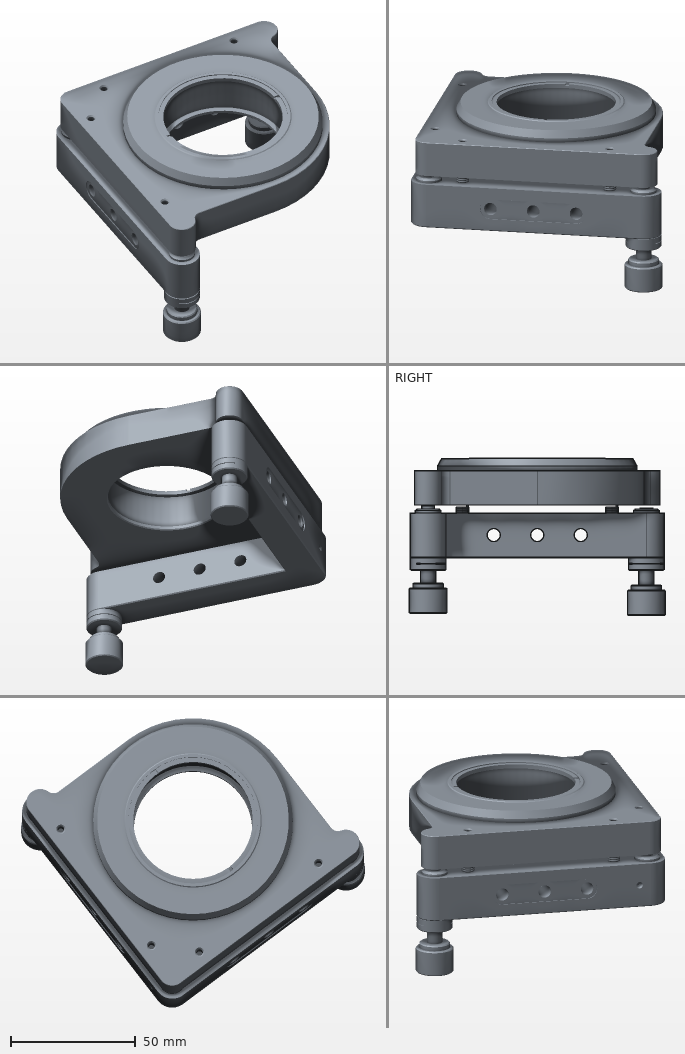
import cadquery as cq
import math


corner_offset = 43.7
spring_offset = 30.0
pivot_place = (-corner_offset, -corner_offset)
low_adjuster_place = (-corner_offset, corner_offset)
high_adjuster_place = (corner_offset, -corner_offset)
spring_places = [(-corner_offset, y) for y in (-spring_offset, spring_offset)]
spring_places += [(x, -corner_offset) for x in (-spring_offset, spring_offset)]

base_bottom = 23.1
base_top = 41.0
leg_half_width = 7.2
base_edge_chamfer = 0.4

leg_hole_height = 32.2
leg_hole_radius = 2.6
leg_hole_pitch = 17.4
pad_radius = 4.1
pad_depth = 0.4

lock_hole_y = -39.0
lock_hole_radius = 0.9
lock_hole_mouth = 1.3
lock_hole_depth = 3.1

plate_bottom = 44.2
plate_top = 58.2
ear_radius = 5.5
flank = 42.8
ear_fillet = 3.5
plate_edge_chamfer = 0.2

ring_radius = 40.0
ring_top_radius = 38.4
ring_chamfer_start = 59.8
ring_top = 62.8
lip_radius = 27.5
lip_top_radius = 27.1
lip_top = 63.1

bore_radius = 25.8
seat_height = 45.8
seat_radius = 23.7
seat_chamfer = 0.4
retainer_radius = 23.9
retainer_top = 62.7
retainer_thickness = 1.6
wrench_slot_width = 1.4
wrench_slot_depth = 0.7

anchor_hole_radius = 1.3
anchor_hole_mouth = 1.8
anchor_hole_depth = 5.1

coil_radius = 2.2
wire_radius = 0.4
coil_count = 3
spring_end_angle = math.radians(65)

knob_radius = 7.6
knob_height = 10.2
collar_radius = 6.2
collar_top = 12.2
shaft_radius = 3.1
tip_radius = 2.6
tip_top = 43.1
adjuster_lift = 0.8
turned_chamfer = 0.4
nut_height = 5.0
nut_slit_height = 20.7
nut_slit_width = 0.3
nut_hinge_offset = 4.5
bushing_radius = 5.2
bushing_top_radius = 4.3
bushing_shoulder = 0.9
bushing_height = 1.6


def cylinder(radius, bottom, top, place=(0, 0)):
    return cq.Workplane("XY", origin=(*place, bottom)).circle(radius).extrude(top - bottom)


def coned_hole(plane, radius, mouth, depth):
    """Cutter for a blind hole with a 45 degree mouth, drilled against the plane normal."""
    sink = mouth - radius
    profile = [(0, 0), (mouth, 0), (radius, -sink), (radius, -depth), (0, -depth)]
    cutter = cq.Workplane("XZ").polyline(profile).close().revolve(360, (0, 0), (0, 1))
    return cq.Workplane(plane).newObject([cutter.val().moved(plane.location)])


def leg(turned):
    """One straight leg along X, or along Y when turned, with round ends."""
    length = 2 * (corner_offset + leg_half_width)
    angle = 90 if turned else 0
    center = (-corner_offset, 0) if turned else (0, -corner_offset)
    blank = cq.Workplane("XY", origin=(*center, base_bottom))
    return blank.slot2D(length, 2 * leg_half_width, angle).extrude(base_top - base_bottom)


def leg_hole_cutter():
    """Three cross holes and their shallow pad, cut into the -Y face."""
    face = cq.Workplane("XZ", origin=(0, -corner_offset - leg_half_width, leg_hole_height))
    holes = face.pushPoints([(i * leg_hole_pitch, 0) for i in (-1, 0, 1)])
    holes = holes.circle(leg_hole_radius).extrude(-2 * leg_half_width)
    pad = face.slot2D(2 * (leg_hole_pitch + pad_radius), 2 * pad_radius).extrude(-pad_depth)
    return holes.union(pad)


def make_base():
    base = leg(False).union(leg(True))
    base = base.faces("<Z").chamfer(base_edge_chamfer)
    cutter = leg_hole_cutter()
    base = base.cut(cutter).cut(cutter.rotate((0, 0, 0), (0, 0, 1), -90))
    lock_face = cq.Plane(
        origin=(-corner_offset - leg_half_width, lock_hole_y, leg_hole_height),
        xDir=(0, -1, 0),
        normal=(-1, 0, 0),
    )
    return base.cut(coned_hole(lock_face, lock_hole_radius, lock_hole_mouth, lock_hole_depth))


def plate_outline():
    """Rounded square with an ear at the +Y and +X ends of its outer edges."""
    c = corner_offset
    r = ear_radius
    edge = c + r
    fillet_y = flank + ear_fillet
    reach = r + ear_fillet
    fillet_x = -c + math.sqrt(reach**2 - (fillet_y - c) ** 2)
    touch_x = -c + (fillet_x + c) * r / reach
    touch_y = c + (fillet_y - c) * r / reach
    touch_angle = math.atan2(touch_y - c, touch_x + c)
    ear_middle_angle = (touch_angle + math.pi) / 2
    ear_middle_x = -c + r * math.cos(ear_middle_angle)
    ear_middle_y = c + r * math.sin(ear_middle_angle)
    fillet_middle_angle = ((touch_angle - math.pi) + (-math.pi / 2)) / 2
    fillet_middle_x = fillet_x + ear_fillet * math.cos(fillet_middle_angle)
    fillet_middle_y = fillet_y + ear_fillet * math.sin(fillet_middle_angle)
    diagonal = flank / math.sqrt(2)
    corner_middle = -c - r / math.sqrt(2)
    return (
        cq.Workplane("XY", origin=(0, 0, plate_bottom))
        .moveTo(-edge, -c)
        .lineTo(-edge, c)
        .threePointArc((ear_middle_x, ear_middle_y), (touch_x, touch_y))
        .threePointArc((fillet_middle_x, fillet_middle_y), (fillet_x, flank))
        .lineTo(0, flank)
        .threePointArc((diagonal, diagonal), (flank, 0))
        .lineTo(flank, fillet_x)
        .threePointArc((fillet_middle_y, fillet_middle_x), (touch_y, touch_x))
        .threePointArc((ear_middle_y, ear_middle_x), (c, -edge))
        .lineTo(-c, -edge)
        .threePointArc((corner_middle, corner_middle), (-edge, -c))
        .close()
    )


def make_plate():
    plate = plate_outline().extrude(plate_top - plate_bottom)
    plate = plate.faces(">Z").chamfer(plate_edge_chamfer)
    retainer_bottom = retainer_top - retainer_thickness
    ring_profile = [
        (0, plate_bottom),
        (ring_radius, plate_bottom),
        (ring_radius, ring_chamfer_start),
        (ring_top_radius, ring_top),
        (lip_radius, ring_top),
        (lip_top_radius, lip_top),
        (0, lip_top),
    ]
    bore_profile = [
        (0, plate_bottom),
        (seat_radius + seat_chamfer, plate_bottom),
        (seat_radius, plate_bottom + seat_chamfer),
        (seat_radius, seat_height),
        (bore_radius, seat_height),
        (bore_radius, retainer_bottom),
        (retainer_radius, retainer_bottom),
        (retainer_radius, retainer_top),
        (bore_radius, retainer_top),
        (bore_radius, lip_top),
        (0, lip_top),
    ]
    ring = cq.Workplane("XZ").polyline(ring_profile).close().revolve(360, (0, 0), (0, 1))
    bore = cq.Workplane("XZ").polyline(bore_profile).close().revolve(360, (0, 0), (0, 1))
    slots = cq.Workplane("XY", origin=(0, 0, retainer_top - wrench_slot_depth))
    slots = slots.rect(wrench_slot_width, 2 * bore_radius).extrude(wrench_slot_depth)
    plate = plate.union(ring).cut(bore).cut(slots)
    for x, y in spring_places:
        mouth = cq.Plane(origin=(x, y, plate_top))
        plate = plate.cut(coned_hole(mouth, anchor_hole_radius, anchor_hole_mouth, anchor_hole_depth))
    return plate


def make_spring(place):
    """Closed coils standing on the base, with a straight wire end held in the plate."""
    pitch = 2 * wire_radius
    profile = cq.Workplane("XZ").moveTo(0, base_top).lineTo(coil_radius, base_top)
    for i in range(coil_count):
        height = base_top + i * pitch
        bulge = (coil_radius + wire_radius, height + wire_radius)
        profile = profile.threePointArc(bulge, (coil_radius, height + pitch))
    profile = profile.lineTo(0, base_top + coil_count * pitch).close()
    spring = profile.revolve(360, (0, 0), (0, 1)).translate((*place, 0))
    end_x = place[0] + coil_radius * math.cos(spring_end_angle)
    end_y = place[1] + coil_radius * math.sin(spring_end_angle)
    wire_end = cylinder(wire_radius, base_top, plate_bottom + wire_radius, (end_x, end_y))
    return spring.union(wire_end)


def make_bushing(place):
    top = base_top + bushing_height
    shoulder = base_top + bushing_shoulder
    profile = [(0, base_top), (bushing_radius, base_top), (bushing_radius, shoulder)]
    profile += [(bushing_top_radius, top), (0, top)]
    bushing = cq.Workplane("XZ").polyline(profile).close().revolve(360, (0, 0), (0, 1))
    return bushing.translate((*place, 0))


def make_nut(place, outward):
    """Clamping nut under the base; outward is the unit direction of its hinge."""
    bottom = base_bottom - nut_height
    nut = cylinder(leg_half_width, bottom, base_bottom, place)
    nut = nut.faces("<Z").edges().chamfer(turned_chamfer)
    slit_length = 2 * leg_half_width
    slit_shift = slit_length / 2 - nut_hinge_offset
    slit = cq.Workplane("XY").box(slit_length, slit_length, nut_slit_width)
    slit_x = place[0] - outward[0] * slit_shift
    slit_y = place[1] - outward[1] * slit_shift
    return nut.cut(slit.translate((slit_x, slit_y, nut_slit_height)))


def make_adjuster(place, lift):
    """Knob, collar, shaft and tip of one adjusting screw."""
    knob = cylinder(knob_radius, lift, lift + knob_height, place)
    knob = knob.edges().chamfer(turned_chamfer)
    collar = cylinder(collar_radius, lift + knob_height, lift + collar_top, place)
    collar = collar.faces(">Z").edges().chamfer(turned_chamfer)
    shaft = cylinder(shaft_radius, lift + collar_top, base_top, place)
    tip = cylinder(tip_radius, base_top, tip_top + lift, place)
    return knob.union(collar).union(shaft).union(tip)


result = make_base().union(make_plate())
for place in spring_places:
    result = result.union(make_spring(place))
for place in (pivot_place, low_adjuster_place, high_adjuster_place):
    result = result.union(make_bushing(place))
result = result.union(cylinder(tip_radius, base_top, plate_bottom, pivot_place))
for place, outward, lift in (
    (low_adjuster_place, (-1, 0), 0),
    (high_adjuster_place, (0, -1), adjuster_lift),
):
    result = result.union(make_nut(place, outward)).union(make_adjuster(place, lift))